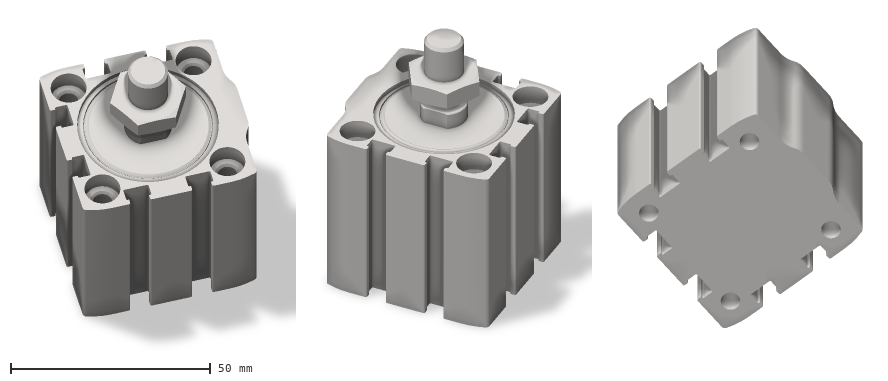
import cadquery as cq
import math

BODY_WIDTH = 45.0
BODY_HEIGHT = 45.0
HALF_WIDTH = BODY_WIDTH / 2
CORNER_X = 21.2
BOW_START_Y = 15.45
CORNER_FILLET = 1.0

PAD_TOP_Y = 24.5
PAD_FLAT_HALF = 5.0
PAD_CREST_RADIUS = 5.0
PAD_FOOT_RADIUS = 6.8

SLOT_OFFSET = 8.0
SLOT_MOUTH = 5.2
SLOT_WIDTH = 6.5
SLOT_DEPTH = 4.6
SLOT_LIP = 1.4
SLOT_EDGE_FILLET = 0.4
SLOT_INNER_FILLET = 0.35

HOLE_OFFSET = 16.2
HOLE_DIAMETER = 4.9
HOLE_CHAMFER_DIAMETER = 6.05
COUNTERBORE_DIAMETER = 9.0
COUNTERBORE_DEPTH = 4.95

RECESS_DIAMETER = 35.4
RECESS_DEPTH = 1.35
RING_INNER_RADIUS = 16.25
RING_TOP_DEPTH = 0.55
COLLAR_DIAMETER = 32.0
COLLAR_DEPTH = 0.8
BEVEL_FOOT_RADIUS = 15.85
RIM_RADIUS = 15.15
RIM_DEPTH = 0.35
FACE_RADIUS = 14.8
FACE_DEPTH = 0.5

ROD_TOP = 68.0
ROD_SEAT_DEPTH = 6.8
FACE_Z = BODY_HEIGHT - FACE_DEPTH
ROD_BASE = FACE_Z - ROD_SEAT_DEPTH
SHANK_DIAMETER = 12.0
SHANK_TOP = 48.95
SHANK_CHAMFER = 0.2
FLATS_WIDTH = 10.0
THREAD_DIAMETER = 10.0
THREAD_BOTTOM = 51.15
TIP_DIAMETER = 8.65
TIP_CHAMFER_HEIGHT = 0.8
NECK_DIAMETER = 8.1
NECK_FOOT_DIAMETER = 8.9
NECK_UPPER_FILLET = 0.7
NECK_LOWER_FILLET = 1.0

NUT_FLATS = 17.0
NUT_BOTTOM = 53.05
NUT_HEIGHT = 5.0
NUT_FACE_DIAMETER = 16.65
NUT_CHAMFER_ANGLE = 15

SELECT_MARGIN = 0.1


def make_block():
    """Square block with bowed sides, without the port pad."""
    bow = HALF_WIDTH - CORNER_X
    rise = HALF_WIDTH - BOW_START_Y
    bow_radius = (rise**2 + bow**2) / (2 * bow)
    half_angle = math.asin(rise / bow_radius) / 2
    mid_x = HALF_WIDTH - bow_radius * (1 - math.cos(half_angle))
    mid_y = BOW_START_Y + bow_radius * math.sin(half_angle)
    block = (
        cq.Workplane("XY")
        .moveTo(-CORNER_X, -HALF_WIDTH)
        .lineTo(CORNER_X, -HALF_WIDTH)
        .threePointArc((mid_x, -mid_y), (HALF_WIDTH, -BOW_START_Y))
        .lineTo(HALF_WIDTH, BOW_START_Y)
        .threePointArc((mid_x, mid_y), (CORNER_X, HALF_WIDTH))
        .lineTo(-CORNER_X, HALF_WIDTH)
        .threePointArc((-mid_x, mid_y), (-HALF_WIDTH, BOW_START_Y))
        .lineTo(-HALF_WIDTH, -BOW_START_Y)
        .threePointArc((-mid_x, -mid_y), (-CORNER_X, -HALF_WIDTH))
        .close()
        .extrude(BODY_HEIGHT)
    )
    for side_x in (-1, 1):
        for side_y in (-1, 1):
            corner_x = side_x * CORNER_X
            corner_y = side_y * HALF_WIDTH
            corner = cq.selectors.BoxSelector(
                (corner_x - SELECT_MARGIN, corner_y - SELECT_MARGIN, 0),
                (corner_x + SELECT_MARGIN, corner_y + SELECT_MARGIN, BODY_HEIGHT),
            )
            block = block.edges("|Z").edges(corner).fillet(CORNER_FILLET)
    return block


def make_port_pad():
    """Pad whose crest arcs run tangent into the foot arcs on the rear face."""
    pad_rise = PAD_TOP_Y - HALF_WIDTH
    radii = PAD_CREST_RADIUS + PAD_FOOT_RADIUS
    slope = math.acos(1 - pad_rise / radii)
    foot_x = PAD_FLAT_HALF + radii * math.sin(slope)

    def crest(angle):
        return (
            PAD_FLAT_HALF + PAD_CREST_RADIUS * math.sin(angle),
            PAD_TOP_Y - PAD_CREST_RADIUS * (1 - math.cos(angle)),
        )

    foot_mid = (
        foot_x - PAD_FOOT_RADIUS * math.sin(slope / 2),
        HALF_WIDTH + PAD_FOOT_RADIUS * (1 - math.cos(slope / 2)),
    )

    def mirrored(point):
        return (-point[0], point[1])

    return (
        cq.Workplane("XY")
        .moveTo(PAD_FLAT_HALF, PAD_TOP_Y)
        .threePointArc(crest(slope / 2), crest(slope))
        .threePointArc(foot_mid, (foot_x, HALF_WIDTH))
        .lineTo(foot_x, 0)
        .lineTo(-foot_x, 0)
        .lineTo(-foot_x, HALF_WIDTH)
        .threePointArc(mirrored(foot_mid), mirrored(crest(slope)))
        .threePointArc(mirrored(crest(slope / 2)), (-PAD_FLAT_HALF, PAD_TOP_Y))
        .close()
        .extrude(BODY_HEIGHT)
    )


def make_slot(offset):
    """T-slot cutter for the front side, centred at X = offset, with flared mouth edges."""
    face_y = -HALF_WIDTH
    lip_y = face_y + SLOT_LIP
    floor_y = face_y + SLOT_DEPTH
    chamber = (
        cq.Workplane("XY")
        .center(offset, (lip_y + floor_y) / 2)
        .rect(SLOT_WIDTH, floor_y - lip_y)
        .extrude(BODY_HEIGHT)
        .edges("|Z")
        .fillet(SLOT_INNER_FILLET)
    )
    half_mouth = SLOT_MOUTH / 2
    half_flare = half_mouth + SLOT_EDGE_FILLET
    mouth = (
        cq.Workplane("XY")
        .moveTo(offset - half_flare, face_y)
        .radiusArc((offset - half_mouth, face_y + SLOT_EDGE_FILLET), -SLOT_EDGE_FILLET)
        .lineTo(offset - half_mouth, floor_y)
        .lineTo(offset + half_mouth, floor_y)
        .lineTo(offset + half_mouth, face_y + SLOT_EDGE_FILLET)
        .radiusArc((offset + half_flare, face_y), -SLOT_EDGE_FILLET)
        .close()
        .extrude(BODY_HEIGHT)
    )
    return chamber.union(mouth)


def make_mounting_hole():
    """Cutter for one counterbored hole, on the Z axis."""
    seat_z = BODY_HEIGHT - COUNTERBORE_DEPTH
    chamfer_height = (HOLE_CHAMFER_DIAMETER - HOLE_DIAMETER) / 2
    return (
        cq.Workplane("XZ")
        .lineTo(HOLE_DIAMETER / 2, 0)
        .lineTo(HOLE_DIAMETER / 2, seat_z - chamfer_height)
        .lineTo(HOLE_CHAMFER_DIAMETER / 2, seat_z)
        .lineTo(COUNTERBORE_DIAMETER / 2, seat_z)
        .lineTo(COUNTERBORE_DIAMETER / 2, BODY_HEIGHT)
        .lineTo(0, BODY_HEIGHT)
        .close()
        .revolve()
    )


def make_end_recess():
    """Cutter that leaves the stepped, bevelled end face around the rod."""
    return (
        cq.Workplane("XZ")
        .moveTo(0, BODY_HEIGHT)
        .lineTo(0, FACE_Z)
        .lineTo(FACE_RADIUS, FACE_Z)
        .lineTo(RIM_RADIUS, BODY_HEIGHT - RIM_DEPTH)
        .lineTo(BEVEL_FOOT_RADIUS, BODY_HEIGHT - COLLAR_DEPTH)
        .lineTo(COLLAR_DIAMETER / 2, BODY_HEIGHT - COLLAR_DEPTH)
        .lineTo(COLLAR_DIAMETER / 2, BODY_HEIGHT - RECESS_DEPTH)
        .lineTo(RING_INNER_RADIUS, BODY_HEIGHT - RECESS_DEPTH)
        .lineTo(RING_INNER_RADIUS, BODY_HEIGHT - RING_TOP_DEPTH)
        .lineTo(RECESS_DIAMETER / 2, BODY_HEIGHT - RECESS_DEPTH)
        .lineTo(RECESS_DIAMETER / 2, BODY_HEIGHT)
        .close()
        .revolve()
    )


def make_rod_seat():
    """Cutter for the round hole that holds the lower end of the rod."""
    return (
        cq.Workplane("XY")
        .workplane(offset=ROD_BASE)
        .circle(SHANK_DIAMETER / 2)
        .extrude(ROD_SEAT_DEPTH)
    )


def make_housing():
    """Slotted body with mounting holes, the recessed end face and the rod hole."""
    housing = make_block().union(make_port_pad())
    for turn in (-90, 0, 90):
        for offset in (-SLOT_OFFSET, SLOT_OFFSET):
            housing = housing.cut(make_slot(offset).rotate((0, 0, 0), (0, 0, 1), turn))
    for hole_x in (-HOLE_OFFSET, HOLE_OFFSET):
        for hole_y in (-HOLE_OFFSET, HOLE_OFFSET):
            housing = housing.cut(make_mounting_hole().translate((hole_x, hole_y, 0)))
    return housing.cut(make_end_recess()).cut(make_rod_seat())


def make_rod():
    """Rod with a round foot in the housing, two flats, an undercut neck and a threaded end."""
    shank_radius = SHANK_DIAMETER / 2
    thread_radius = THREAD_DIAMETER / 2
    neck_radius = NECK_DIAMETER / 2
    neck_foot_radius = NECK_FOOT_DIAMETER / 2

    lower_corner_z = SHANK_TOP + (neck_foot_radius - neck_radius)
    upper_corner_z = THREAD_BOTTOM - (thread_radius - neck_radius)
    rod = (
        cq.Workplane("XZ")
        .moveTo(0, ROD_BASE)
        .lineTo(shank_radius, ROD_BASE)
        .lineTo(shank_radius, SHANK_TOP - SHANK_CHAMFER)
        .lineTo(shank_radius - SHANK_CHAMFER, SHANK_TOP)
        .lineTo(neck_foot_radius, SHANK_TOP)
        .lineTo(neck_radius, lower_corner_z)
        .lineTo(neck_radius, upper_corner_z)
        .lineTo(thread_radius, THREAD_BOTTOM)
        .lineTo(thread_radius, ROD_TOP - TIP_CHAMFER_HEIGHT)
        .lineTo(TIP_DIAMETER / 2, ROD_TOP)
        .lineTo(0, ROD_TOP)
        .close()
        .revolve()
    )
    neck_corners = ((lower_corner_z, NECK_LOWER_FILLET), (upper_corner_z, NECK_UPPER_FILLET))
    for corner_z, fillet_radius in neck_corners:
        corner = cq.selectors.BoxSelector(
            (-shank_radius, -shank_radius, corner_z - SELECT_MARGIN),
            (shank_radius, shank_radius, corner_z + SELECT_MARGIN),
        )
        rod = rod.edges("%CIRCLE").edges(corner).fillet(fillet_radius)

    flat_depth = (SHANK_DIAMETER - FLATS_WIDTH) / 2
    for side in (-1, 1):
        flat = (
            cq.Workplane("XY")
            .workplane(offset=FACE_Z)
            .center(side * (FLATS_WIDTH + flat_depth) / 2, 0)
            .rect(flat_depth, SHANK_DIAMETER)
            .extrude(SHANK_TOP - FACE_Z)
        )
        rod = rod.cut(flat)
    return rod


def make_nut():
    """Hexagon nut with corners bevelled on both faces, its corners pointing along Y."""
    corner_diameter = NUT_FLATS / math.cos(math.pi / 6)
    corner_radius = corner_diameter / 2
    face_radius = NUT_FACE_DIAMETER / 2
    bevel = (corner_radius - face_radius) * math.tan(math.radians(NUT_CHAMFER_ANGLE))
    nut_top = NUT_BOTTOM + NUT_HEIGHT
    hexagon = (
        cq.Workplane("XY")
        .workplane(offset=NUT_BOTTOM)
        .polygon(6, corner_diameter)
        .extrude(NUT_HEIGHT)
        .rotate((0, 0, 0), (0, 0, 1), 90)
    )
    bevelled_disc = (
        cq.Workplane("XZ")
        .moveTo(0, NUT_BOTTOM)
        .lineTo(face_radius, NUT_BOTTOM)
        .lineTo(corner_radius, NUT_BOTTOM + bevel)
        .lineTo(corner_radius, nut_top - bevel)
        .lineTo(face_radius, nut_top)
        .lineTo(0, nut_top)
        .close()
        .revolve()
    )
    bore = (
        cq.Workplane("XY")
        .workplane(offset=NUT_BOTTOM)
        .circle(THREAD_DIAMETER / 2)
        .extrude(NUT_HEIGHT)
    )
    return hexagon.intersect(bevelled_disc).cut(bore)


housing = make_housing()
rod = make_rod()
nut = make_nut()

result = cq.Compound.makeCompound([housing.val(), rod.val(), nut.val()])